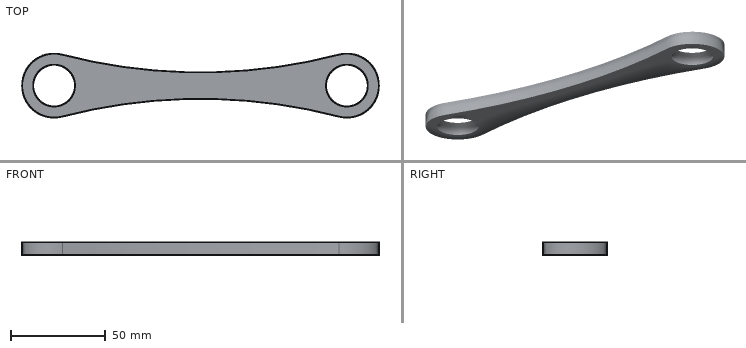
import cadquery as cq
import math

hole_spacing = 155.0
hole_diameter = 22.0
end_radius = 17.0
flank_radius = 290.0
thickness = 7.0

end_x = hole_spacing / 2
flank_center_y = math.sqrt((flank_radius + end_radius) ** 2 - end_x ** 2)
waist_half_width = flank_center_y - flank_radius

tangent_ratio = end_radius / (flank_radius + end_radius)
tangent_x = end_x * (1 - tangent_ratio)
tangent_y = flank_center_y * tangent_ratio
tip_x = end_x + end_radius


def make_link_body():
    """Flat link with two round ends and a narrowed waist."""
    return (
        cq.Workplane("XY")
        .moveTo(-tangent_x, tangent_y)
        .threePointArc((0, waist_half_width), (tangent_x, tangent_y))
        .threePointArc((tip_x, 0), (tangent_x, -tangent_y))
        .threePointArc((0, -waist_half_width), (-tangent_x, -tangent_y))
        .threePointArc((-tip_x, 0), (-tangent_x, tangent_y))
        .close()
        .extrude(thickness)
    )


def cut_end_holes(body):
    """Through hole concentric with each round end."""
    return (
        body.faces(">Z")
        .workplane(origin=(0, 0, thickness))
        .pushPoints([(-end_x, 0), (end_x, 0)])
        .hole(hole_diameter)
    )


result = cut_end_holes(make_link_body())